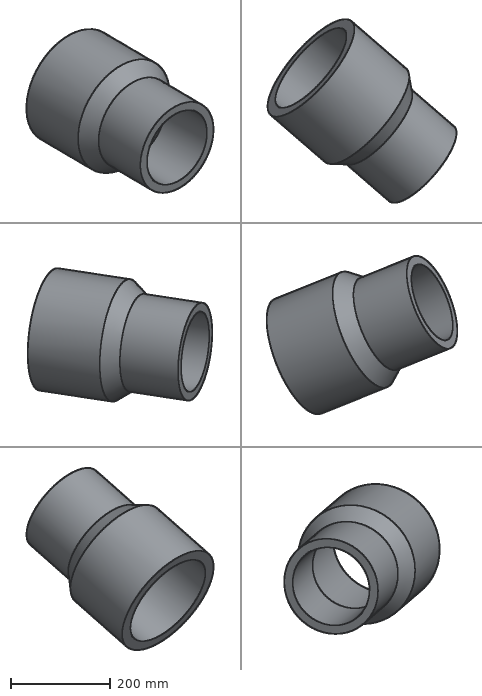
import cadquery as cq

overall_length = 314.0
wide_length = 155.0
narrow_length = 125.0

wide_outer_diameter = 250.0
wide_bore_diameter = 204.6
narrow_outer_diameter = 200.0
narrow_bore_diameter = 163.6

cone_start = wide_length
cone_end = overall_length - narrow_length


def stepped_solid(wide_diameter, narrow_diameter):
    """Solid of revolution about X: wide cylinder, cone, narrow cylinder."""
    wide_radius = wide_diameter / 2
    narrow_radius = narrow_diameter / 2
    half_profile = (
        cq.Workplane("XY")
        .moveTo(0, 0)
        .lineTo(0, wide_radius)
        .lineTo(cone_start, wide_radius)
        .lineTo(cone_end, narrow_radius)
        .lineTo(overall_length, narrow_radius)
        .lineTo(overall_length, 0)
        .close()
    )
    return half_profile.revolve(360, (0, 0, 0), (1, 0, 0))


outer_body = stepped_solid(wide_outer_diameter, narrow_outer_diameter)
bore = stepped_solid(wide_bore_diameter, narrow_bore_diameter)

result = outer_body.cut(bore)